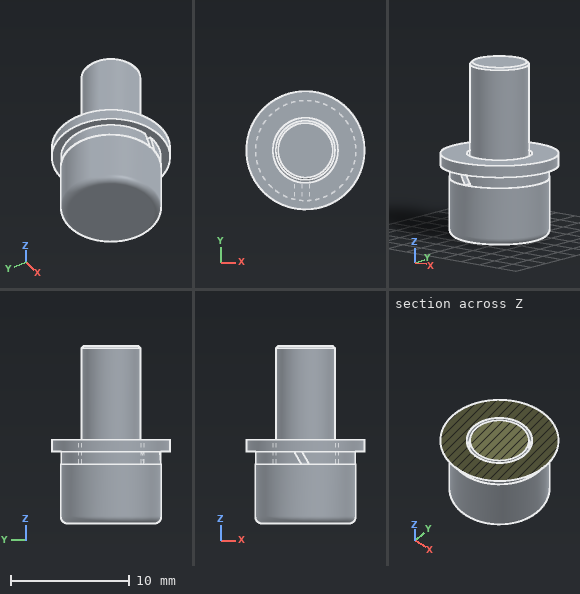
import cadquery as cq
import math

screw_length = 15.0
head_diameter = 8.5
head_height = 5.0
head_edge_radius = 0.6
shank_diameter = 5.0
tip_chamfer = 0.2
underhead_radius = 0.2

washer_hole_diameter = 5.5

lock_washer_diameter = 8.43
lock_washer_height = 1.1
split_width = 0.66
split_angle = 30.0

flat_washer_diameter = 10.0
flat_washer_height = 1.0

lock_washer_base = head_height
flat_washer_base = lock_washer_base + lock_washer_height


def make_screw():
    """Revolve the half profile of the screw about the Z axis."""
    head_radius = head_diameter / 2
    shank_radius = shank_diameter / 2
    diagonal = math.sqrt(0.5)
    edge_center_x = head_radius - head_edge_radius
    edge_mid = (
        edge_center_x + head_edge_radius * diagonal,
        head_edge_radius * (1 - diagonal),
    )
    underhead_mid = (
        shank_radius + underhead_radius * (1 - diagonal),
        head_height + underhead_radius * (1 - diagonal),
    )
    return (
        cq.Workplane("XZ")
        .lineTo(edge_center_x, 0)
        .threePointArc(edge_mid, (head_radius, head_edge_radius))
        .lineTo(head_radius, head_height)
        .lineTo(shank_radius + underhead_radius, head_height)
        .threePointArc(underhead_mid, (shank_radius, head_height + underhead_radius))
        .lineTo(shank_radius, screw_length - tip_chamfer)
        .lineTo(shank_radius - tip_chamfer, screw_length)
        .lineTo(0, screw_length)
        .close()
        .revolve(360, (0, 0, 0), (0, 1, 0))
    )


def make_ring(outer_diameter, height, base):
    """Plain flat ring with the shared clearance hole."""
    return (
        cq.Workplane("XY")
        .workplane(offset=base)
        .circle(outer_diameter / 2)
        .circle(washer_hole_diameter / 2)
        .extrude(height)
    )


def make_lock_washer():
    """Ring cut through on its -Y side by a slanted split."""
    ring = make_ring(lock_washer_diameter, lock_washer_height, lock_washer_base)
    lean = lock_washer_height * math.tan(math.radians(split_angle))
    half_width = split_width / 2
    split = (
        cq.Workplane("XZ")
        .moveTo(-half_width, lock_washer_base)
        .lineTo(half_width, lock_washer_base)
        .lineTo(half_width - lean, flat_washer_base)
        .lineTo(-half_width - lean, flat_washer_base)
        .close()
        .extrude(lock_washer_diameter)
    )
    return ring.cut(split).solids()


screw = make_screw()
lock_washer = make_lock_washer()
flat_washer = make_ring(flat_washer_diameter, flat_washer_height, flat_washer_base)

result = cq.Compound.makeCompound([screw.val(), lock_washer.val(), flat_washer.val()])